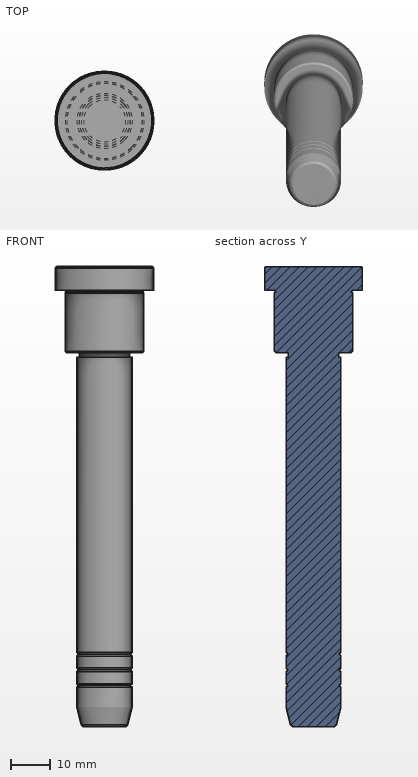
import cadquery as cq

length = 117.0
head_diameter = 25.0
head_height = 6.1
head_chamfer = 0.5

collar_diameter = 20.0
collar_bottom = 95.0
collar_chamfer = 0.5
head_relief_width = 0.7
head_relief_depth = 0.4

shaft_diameter = 14.0
shaft_relief_width = 1.0
shaft_relief_depth = 0.6

groove_count = 3
first_groove_bottom = 10.1
groove_pitch = 4.0
groove_width = 0.9
groove_depth = 0.5

taper_height = 5.0
tip_diameter = 11.8
tip_chamfer = 0.6


def cylinder(diameter, bottom, top):
    return cq.Workplane("XY").workplane(offset=bottom).circle(diameter / 2).extrude(top - bottom)


def square_groove(diameter, depth, bottom, width):
    """Ring that cuts a square groove into a cylinder of the given diameter."""
    ring = cq.Workplane("XY").workplane(offset=bottom)
    return ring.circle(diameter / 2).circle(diameter / 2 - depth).extrude(width)


def vee_groove(diameter, depth, bottom, width):
    """Ring that cuts a V-shaped groove into a cylinder of the given diameter."""
    radius = diameter / 2
    outline = [(radius, bottom), (radius - depth, bottom + width / 2), (radius, bottom + width)]
    return cq.Workplane("XZ").polyline(outline).close().revolve(360, (0, 0), (0, 1))


def tapered_tip():
    """Conical lead-in, chamfered at its lower end."""
    outline = [
        (0, 0),
        (tip_diameter / 2 - tip_chamfer, 0),
        (tip_diameter / 2, tip_chamfer),
        (shaft_diameter / 2, taper_height),
        (0, taper_height),
    ]
    return cq.Workplane("XZ").polyline(outline).close().revolve(360, (0, 0), (0, 1))


head_bottom = length - head_height
head = cylinder(head_diameter, head_bottom, length).faces(">Z").chamfer(head_chamfer)

collar = cylinder(collar_diameter, collar_bottom, head_bottom).faces("<Z").chamfer(collar_chamfer)
collar = collar.cut(
    vee_groove(collar_diameter, head_relief_depth, head_bottom - head_relief_width, head_relief_width)
)

shaft = cylinder(shaft_diameter, taper_height, collar_bottom)
shaft = shaft.cut(
    square_groove(shaft_diameter, shaft_relief_depth, collar_bottom - shaft_relief_width, shaft_relief_width)
)
for index in range(groove_count):
    groove_bottom = first_groove_bottom + index * groove_pitch
    shaft = shaft.cut(vee_groove(shaft_diameter, groove_depth, groove_bottom, groove_width))

result = head.union(collar).union(shaft).union(tapered_tip())